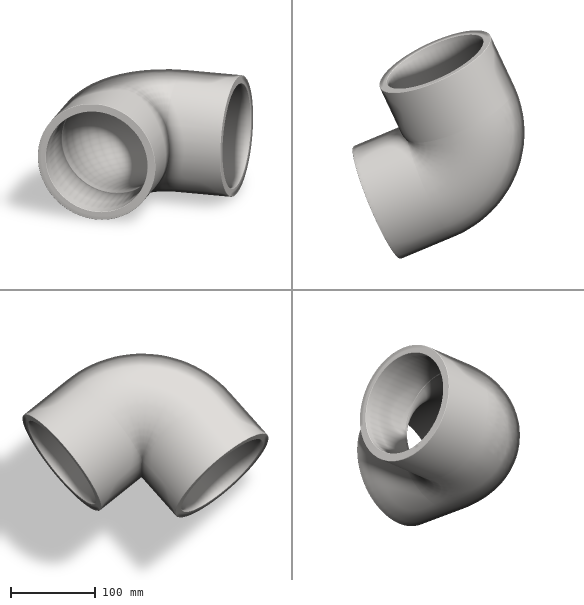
import cadquery as cq
import math

overall_size = 207.5
outer_diameter = 145.0
socket_diameter = 125.0
bend_bore_diameter = 123.0
socket_length = 68.9
rim_chamfer = 0.5

outer_radius = outer_diameter / 2
half_size = overall_size / 2
bend_bore_radius = bend_bore_diameter / 2

bend_center_x = half_size - socket_length
bend_center_y = -half_size + socket_length
pipe_center_x = -half_size + outer_radius
pipe_center_y = half_size - outer_radius
bend_radius = bend_center_x - pipe_center_x


def both_ends(diameter):
    """Straight cylinders from the two open ends to the bend."""
    front = (
        cq.Workplane("XZ", origin=(pipe_center_x, -half_size, 0))
        .circle(diameter / 2)
        .extrude(-socket_length)
    )
    side = (
        cq.Workplane("YZ", origin=(half_size, pipe_center_y, 0))
        .circle(diameter / 2)
        .extrude(-socket_length)
    )
    return front.union(side)


def outer_bend():
    """Quarter torus whose tube is cut off where it would cross the bend axis."""
    half_chord = math.sqrt(outer_radius**2 - bend_radius**2)
    return (
        cq.Workplane("XZ", origin=(bend_center_x, bend_center_y, 0))
        .moveTo(0, -half_chord)
        .threePointArc((-bend_radius - outer_radius, 0), (0, half_chord))
        .close()
        .revolve(90, (0, 0), (0, -1))
    )


def bend_bore():
    """Quarter torus passage joining the two sockets."""
    return (
        cq.Workplane("XZ", origin=(bend_center_x, bend_center_y, 0))
        .center(-bend_radius, 0)
        .circle(bend_bore_radius)
        .revolve(90, (bend_radius, 0), (bend_radius, -1))
    )


body = both_ends(outer_diameter).union(outer_bend())
elbow = body.cut(bend_bore()).cut(both_ends(socket_diameter))

result = elbow.faces("<Y").edges().chamfer(rim_chamfer).faces(">X").edges().chamfer(rim_chamfer)